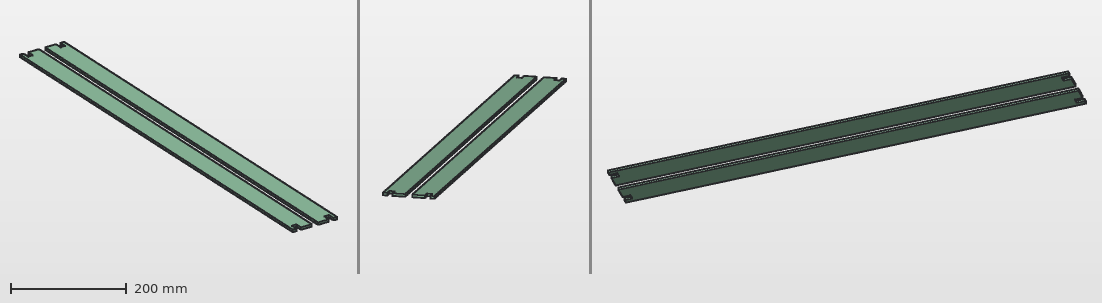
import cadquery as cq

length = 846.0
overall_width = 92.0
thickness = 5.0

strip_width = 40.0
outer_edge = overall_width / 2
inner_edge = outer_edge - strip_width

slot_depth = 14.0
slot_width = 9.0
lip_width = 8.0


def make_strip(side):
    """One flat strip; side is +1 for the +Y strip and -1 for the -Y strip."""
    strip_y = side * (inner_edge + outer_edge) / 2
    strip = cq.Workplane("XY").center(0, strip_y).rect(length, strip_width).extrude(thickness)

    slot_y = side * (outer_edge - lip_width - slot_width / 2)
    slots = (
        cq.Workplane("XY")
        .pushPoints([(-length / 2, slot_y), (length / 2, slot_y)])
        .rect(2 * slot_depth, slot_width)
        .extrude(thickness)
    )
    return strip.cut(slots)


strips = [make_strip(side) for side in (-1, 1)]

result = cq.Compound.makeCompound([strip.val() for strip in strips])